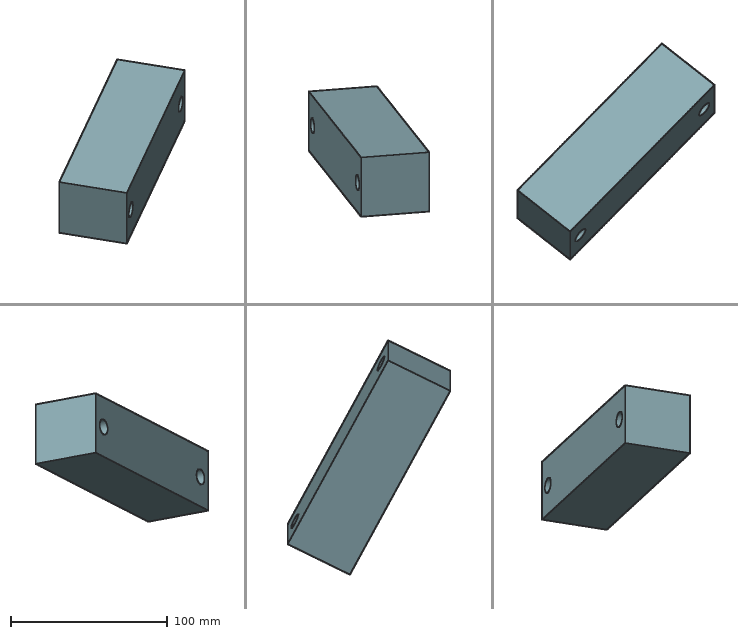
import cadquery as cq

width = 45.0
length = 140.0
height = 40.0

hole_diameter = 10.0
hole_end_distance = 10.0
hole_spacing = length - 2 * hole_end_distance

block = cq.Workplane("XY").box(width, length, height)

result = (
    block.faces("<X")
    .workplane(centerOption="CenterOfBoundBox")
    .pushPoints([(-hole_spacing / 2, 0), (hole_spacing / 2, 0)])
    .hole(hole_diameter)
)